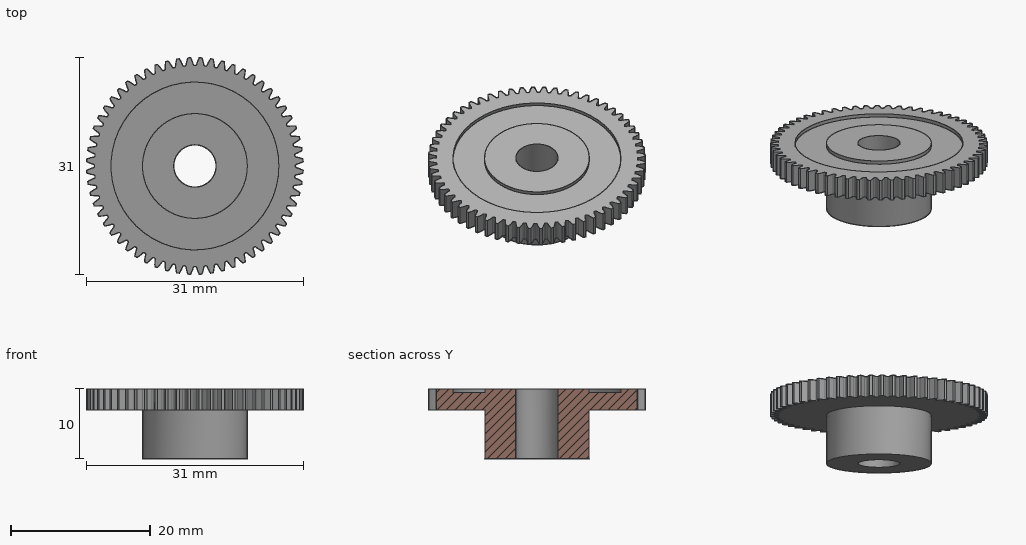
import cadquery as cq
import math

overall_width = 30.98
overall_height = 10.0
face_width = 3.0
hub_diameter = 15.0
bore_diameter = 6.0
recess_diameter = 24.0
recess_depth = 0.5

tooth_count = 60
pressure_angle = math.radians(20)
addendum_factor = 1.0
dedendum_factor = 1.25
root_fillet_factor = 0.38
flank_sections = 4


def involute(angle):
    """Polar angle swept by an involute at a given pressure angle."""
    return math.tan(angle) - angle


def pressure_angle_at(pitch_ratio):
    """Pressure angle at a radius given as a multiple of the pitch radius."""
    return math.acos(math.cos(pressure_angle) / pitch_ratio)


def half_tooth_angle(pitch_ratio):
    """Half the angle a tooth fills at a radius given as a multiple of the pitch radius."""
    flank_shift = involute(pressure_angle) - involute(pressure_angle_at(pitch_ratio))
    return math.pi / (2 * tooth_count) + flank_shift


tooth_angle = 2 * math.pi / tooth_count
tip_ratio = 1 + 2 * addendum_factor / tooth_count
root_ratio = 1 - 2 * dedendum_factor / tooth_count

corner_angle = tooth_angle / 2 - half_tooth_angle(tip_ratio)
tip_radius = overall_width / 2 / math.cos(corner_angle)
pitch_radius = tip_radius / tip_ratio
root_radius = pitch_radius * root_ratio
module = 2 * pitch_radius / tooth_count
root_fillet = root_fillet_factor * module


def polar(radius, angle):
    """Cartesian point at a radius and angle about the gear axis."""
    return (radius * math.cos(angle), radius * math.sin(angle))


def flank_points(tooth_centre, side):
    """Points from root to tip along one flank; side is -1 or +1 about the tooth centre."""
    points = []
    for step in range(flank_sections + 1):
        ratio = root_ratio + (tip_ratio - root_ratio) * step / flank_sections
        angle = tooth_centre + side * half_tooth_angle(ratio)
        points.append(polar(pitch_radius * ratio, angle))
    return points


def gear_blank():
    """Toothed disc with its lower face on the XY plane and rounded tooth roots."""
    start = flank_points(tooth_angle / 2, -1)[0]
    profile = cq.Workplane("XY").moveTo(*start)
    for tooth in range(tooth_count):
        tooth_centre = (tooth + 0.5) * tooth_angle
        rising = flank_points(tooth_centre, -1)
        falling = flank_points(tooth_centre, 1)[::-1]
        next_root = flank_points(tooth_centre + tooth_angle, -1)[0]
        gap_centre = tooth_centre + tooth_angle / 2
        profile = (
            profile.spline(rising[1:], includeCurrent=True)
            .threePointArc(polar(tip_radius, tooth_centre), falling[0])
            .spline(falling[1:], includeCurrent=True)
            .threePointArc(polar(root_radius, gap_centre), next_root)
        )
    blank = profile.close().extrude(face_width)
    mid_radius = (root_radius + pitch_radius) / 2
    root_edges = blank.edges("|Z").filter(
        lambda edge: math.hypot(edge.Center().x, edge.Center().y) < mid_radius
    )
    return root_edges.fillet(root_fillet)


def hub():
    """Cylinder hanging below the toothed disc."""
    hub_length = overall_height - face_width
    return cq.Workplane("XY").circle(hub_diameter / 2).extrude(-hub_length)


def top_recess():
    """Shallow ring sunk into the top face, leaving a boss as wide as the hub."""
    return (
        cq.Workplane("XY", origin=(0, 0, face_width))
        .circle(recess_diameter / 2)
        .circle(hub_diameter / 2)
        .extrude(-recess_depth)
    )


def bore():
    """Through hole along the whole height."""
    return (
        cq.Workplane("XY", origin=(0, 0, face_width))
        .circle(bore_diameter / 2)
        .extrude(-overall_height)
    )


result = gear_blank().union(hub()).cut(top_recess()).cut(bore())